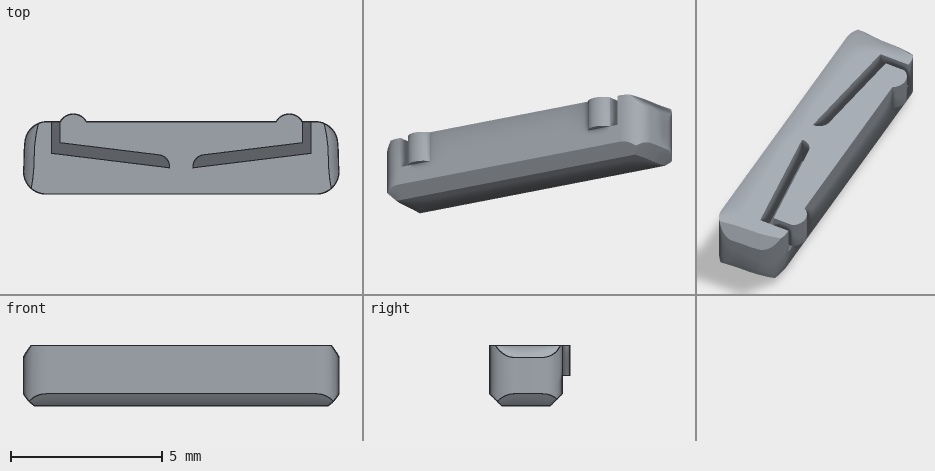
import cadquery as cq
import math

half_length = 5.197
depth = 2.4
height = 2.0
end_wave_radius = 5.0
corner_radius = 0.75
base_chamfer = 0.4
end_top_chamfer_height = 0.4
end_top_chamfer_angle = math.radians(40)

half_depth = depth / 2
end_top_chamfer_width = end_top_chamfer_height * math.tan(end_top_chamfer_angle)

arm_tip_x = 4.0
arm_depth = 1.0
bump_radius = 0.5
bump_height = 0.25
arm_tip_width = 0.7
slot_outer_x = 4.29
slot_outer_reach = 1.05
slot_inner_x = 0.385
slot_angle = math.radians(7)
arm_root_radius = 0.4

arm_tip_y = half_depth - arm_tip_width
slot_outer_y = half_depth - slot_outer_reach


def wave_offset(y):
    """Sideways shift of the S-shaped end wall at a distance y from mid depth."""
    return end_wave_radius - math.sqrt(end_wave_radius**2 - y**2)


def wavy_block():
    """Block whose end walls lean in towards the back and out towards the front."""
    mid_shift = wave_offset(half_depth / 2)
    end_shift = wave_offset(half_depth)
    back_x = half_length - end_shift
    front_x = half_length + end_shift
    back_mid = (half_length - mid_shift, half_depth / 2)
    front_mid = (half_length + mid_shift, -half_depth / 2)
    return (
        cq.Workplane("XY")
        .moveTo(-front_x, -half_depth)
        .lineTo(front_x, -half_depth)
        .threePointArc(front_mid, (half_length, 0))
        .threePointArc(back_mid, (back_x, half_depth))
        .lineTo(-back_x, half_depth)
        .threePointArc((-back_mid[0], back_mid[1]), (-half_length, 0))
        .threePointArc((-front_mid[0], front_mid[1]), (-front_x, -half_depth))
        .close()
        .extrude(height)
    )


def body():
    """Chamfered block trimmed to an outline with rounded vertical corners."""
    rounded = wavy_block().edges("|Z").edges(">Y or <Y").fillet(corner_radius)
    chamfered = wavy_block().faces("<Z").edges().chamfer(base_chamfer)
    top_end_edges = chamfered.faces(">Z").edges("%CIRCLE")
    chamfered = top_end_edges.chamfer(end_top_chamfer_width, end_top_chamfer_height)
    return chamfered.intersect(rounded)


def bump(side):
    """Round catch at an arm tip, rising from the back wall."""
    half_chord = math.sqrt(bump_radius**2 - (bump_radius - bump_height) ** 2)
    bump_peak = (side * (arm_tip_x - half_chord), half_depth + bump_height)
    return (
        cq.Workplane("XY", origin=(0, 0, height - arm_depth))
        .moveTo(side * (arm_tip_x - 2 * half_chord), half_depth)
        .threePointArc(bump_peak, (side * arm_tip_x, half_depth))
        .close()
        .extrude(arm_depth)
    )


def slot(side):
    """L-shaped slot, open at the back, between an arm and the body."""
    slope = math.tan(slot_angle)
    root_upper_y = arm_tip_y - slope * (arm_tip_x - slot_inner_x)
    root_lower_y = slot_outer_y - slope * (slot_outer_x - slot_inner_x)
    arm_root = (side * slot_inner_x, root_upper_y, height - arm_depth / 2)
    return (
        cq.Workplane("XY", origin=(0, 0, height - arm_depth))
        .moveTo(side * slot_outer_x, half_depth)
        .lineTo(side * slot_outer_x, slot_outer_y)
        .lineTo(side * slot_inner_x, root_lower_y)
        .lineTo(side * slot_inner_x, root_upper_y)
        .lineTo(side * arm_tip_x, arm_tip_y)
        .lineTo(side * arm_tip_x, half_depth)
        .close()
        .extrude(arm_depth)
        .edges(cq.selectors.NearestToPointSelector(arm_root))
        .fillet(arm_root_radius)
    )


result = body()
for side in (-1, 1):
    result = result.cut(slot(side)).union(bump(side))